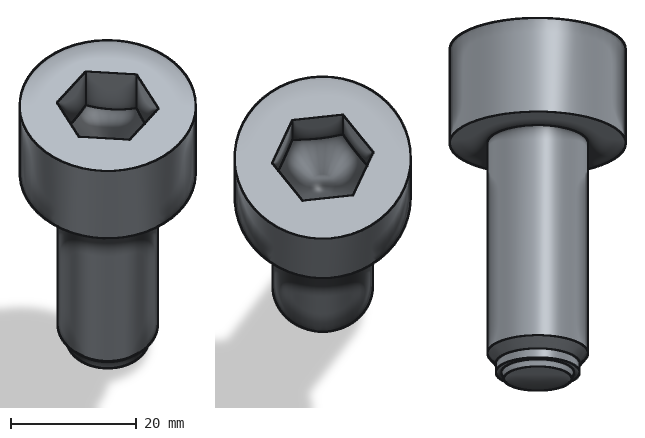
import cadquery as cq
import math

total_length = 56.0
head_diameter = 28.0
head_height = 15.95
shank_diameter = 16.0

collar_diameter = 13.3
collar_bottom = 1.05
collar_top = 2.6
chamfer_height = 1.75

hex_across_flats = 14.0
hex_wall_depth = 8.0
floor_slope_angle = 30.0

ball_diameter = 12.0
ball_flat_diameter = 10.75

head_radius = head_diameter / 2
shank_radius = shank_diameter / 2
collar_radius = collar_diameter / 2
ball_radius = ball_diameter / 2
ball_center_height = math.sqrt(ball_radius**2 - (ball_flat_diameter / 2) ** 2)
hex_corner_radius = hex_across_flats / math.sqrt(3)
floor_cone_height = hex_corner_radius * math.tan(math.radians(floor_slope_angle))


def make_ball():
    """Sphere cut flat at Z = 0."""
    sphere = cq.Workplane("XY").sphere(ball_radius).translate((0, 0, ball_center_height))
    upper_space = cq.Workplane("XY").circle(ball_diameter).extrude(total_length)
    return sphere.intersect(upper_space)


def make_drive_socket():
    """Hexagonal prism whose lower end is a cone reaching down to its apex."""
    socket_depth = hex_wall_depth + floor_cone_height
    prism = (
        cq.Workplane("XY")
        .workplane(offset=total_length - socket_depth)
        .polygon(6, 2 * hex_corner_radius)
        .extrude(socket_depth)
    )
    wall_bottom = total_length - hex_wall_depth
    pointed_cylinder = (
        cq.Workplane("XZ")
        .moveTo(0, wall_bottom - floor_cone_height)
        .lineTo(hex_corner_radius, wall_bottom)
        .lineTo(hex_corner_radius, total_length)
        .lineTo(0, total_length)
        .close()
        .revolve(360, (0, 0), (0, 1))
    )
    return prism.intersect(pointed_cylinder)


def make_screw(ball):
    """Cap screw turned from one profile, with a drive socket and a ball seat."""
    head_bottom = total_length - head_height
    body = (
        cq.Workplane("XZ")
        .moveTo(0, collar_bottom)
        .lineTo(collar_radius, collar_bottom)
        .lineTo(collar_radius, collar_top)
        .lineTo(shank_radius, collar_top + chamfer_height)
        .lineTo(shank_radius, head_bottom)
        .lineTo(head_radius, head_bottom)
        .lineTo(head_radius, total_length)
        .lineTo(0, total_length)
        .close()
        .revolve(360, (0, 0), (0, 1))
    )
    return body.cut(make_drive_socket()).cut(ball)


ball = make_ball()
screw = make_screw(ball)

result = cq.Compound.makeCompound([screw.solids().val(), ball.solids().val()])